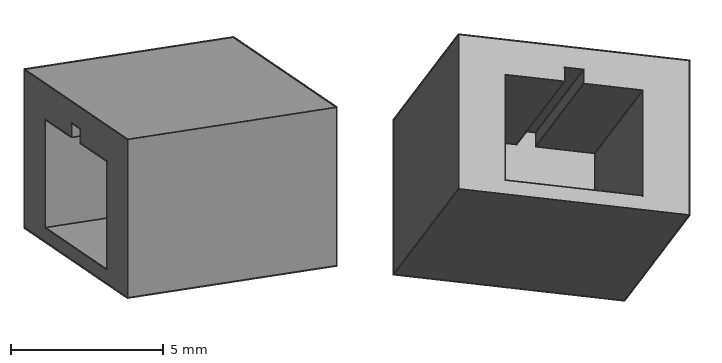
import cadquery as cq

width = 7.9
length = 7.6
height = 5.5

socket_width = 4.7
socket_height = 3.75
floor_thickness = 0.5
back_wall = 2.0
socket_depth = length - back_wall

key_width = 0.65
key_height = 0.5


def socket_cut(cut_width, cut_height, bottom):
    """Box centred on X that runs from the -Y face to the back wall."""
    return (
        cq.Workplane("XY")
        .box(cut_width, socket_depth, cut_height, centered=(True, False, False))
        .translate((0, -length / 2, bottom))
    )


block = cq.Workplane("XY").box(width, length, height, centered=(True, True, False))
socket = socket_cut(socket_width, socket_height, floor_thickness)
key_slot = socket_cut(key_width, key_height, floor_thickness + socket_height)

result = block.cut(socket).cut(key_slot)